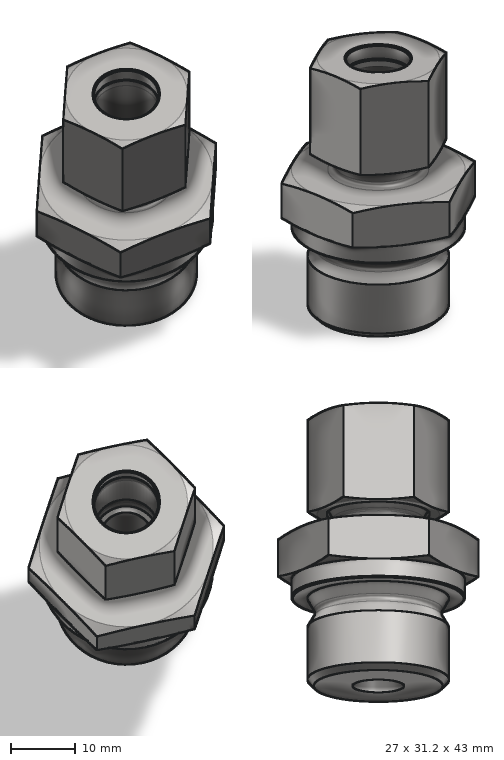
import cadquery as cq
import math


TOTAL_HEIGHT = 43.0
NUT_BOTTOM = 27.5
HEX_TOP = 24.0
HEX_BOTTOM = 17.0
FLANGE_BOTTOM = 14.0
GROOVE_BOTTOM = 9.35
BODY_TIP = 35.0
TUBE_STOP = 28.0
NUT_ROOF = TOTAL_HEIGHT - 2.35

BODY_FLATS = 27.0
NUT_FLATS = 19.0
HEX_CHAMFER_ANGLE = 15.0

STUD_RADIUS = 22.0 / 2
UNION_RADIUS = 16.0 / 2
NECK_RADIUS = 13.7 / 2
FLANGE_RADIUS = BODY_FLATS / 2
BORE_RADIUS = 8.0 / 2
TUBE_RADIUS = 10.0 / 2
MOUTH_RADIUS = 12.3 / 2

STUD_CHAMFER = 1.0
FLANGE_CHAMFER = 0.2
RELIEF_ANGLE = 30.0
GROOVE_FILLET = 1.2
NECK_FILLET = 1.0
NECK_CONE_BOTTOM = 26.85
SEAL_ANGLE = 12.0

NUT_HOLE_CHAMFER = 0.2
RING_GAP = 0.4
RING_RADIUS = 14.35 / 2
RING_NOSE_RADIUS = 5.3
LEAD_IN_DEPTH = 0.95

relief_slope = math.tan(math.radians(RELIEF_ANGLE))
relief_sine = math.sin(math.radians(RELIEF_ANGLE))
relief_sagitta = 1 - math.cos(math.radians(RELIEF_ANGLE))
seal_slope = math.tan(math.radians(SEAL_ANGLE))

shoulder_bottom = NUT_ROOF - (RING_RADIUS - TUBE_RADIUS)
ring_top = NUT_ROOF - RING_GAP
ring_top_radius = TUBE_RADIUS + RING_GAP


def revolve(profile):
    """Turn a closed (radius, height) outline about the Z axis."""
    return profile.close().revolve(360, (0, 0, 0), (0, 1, 0))


def turned(points):
    """Solid of revolution from straight (radius, height) segments."""
    return revolve(cq.Workplane("XZ").polyline(points))


def hexagon(flats, bottom, top):
    """Hexagonal prism with corners on the Y axis and both ends chamfered."""
    corner_radius = flats / 2 / math.cos(math.radians(30))
    drop = (corner_radius - flats / 2) * math.tan(math.radians(HEX_CHAMFER_ANGLE))
    prism = (
        cq.Workplane("XY", origin=(0, 0, bottom))
        .transformed(rotate=(0, 0, 90))
        .polygon(6, 2 * corner_radius)
        .extrude(top - bottom)
    )
    envelope = turned([
        (0, bottom),
        (flats / 2, bottom),
        (corner_radius, bottom + drop),
        (corner_radius, top - drop),
        (flats / 2, top),
        (0, top),
    ])
    return prism.intersect(envelope)


def make_stud():
    """Threaded end, relief groove and flange below the body hexagon."""
    middle = (FLANGE_BOTTOM + GROOVE_BOTTOM) / 2
    arc_half = GROOVE_FILLET * relief_sine
    arc_radius = STUD_RADIUS - (FLANGE_BOTTOM - middle - arc_half) * relief_slope
    floor_radius = arc_radius - GROOVE_FILLET * relief_sagitta
    return revolve(
        cq.Workplane("XZ")
        .lineTo(STUD_RADIUS - STUD_CHAMFER, 0)
        .lineTo(STUD_RADIUS, STUD_CHAMFER)
        .lineTo(STUD_RADIUS, GROOVE_BOTTOM)
        .lineTo(arc_radius, middle - arc_half)
        .threePointArc((floor_radius, middle), (arc_radius, middle + arc_half))
        .lineTo(STUD_RADIUS, FLANGE_BOTTOM)
        .lineTo(FLANGE_RADIUS - FLANGE_CHAMFER, FLANGE_BOTTOM)
        .lineTo(FLANGE_RADIUS, FLANGE_BOTTOM + FLANGE_CHAMFER)
        .lineTo(FLANGE_RADIUS, HEX_BOTTOM)
        .lineTo(0, HEX_BOTTOM)
    )


def make_union_end():
    """Filleted neck and nut thread above the body hexagon."""
    cone_radius = NECK_RADIUS + NECK_FILLET * relief_sagitta
    cone_top = NECK_CONE_BOTTOM + (UNION_RADIUS - cone_radius) / relief_slope
    neck_top = NECK_CONE_BOTTOM - NECK_FILLET * relief_sine
    return revolve(
        cq.Workplane("XZ")
        .moveTo(0, HEX_TOP)
        .lineTo(NECK_RADIUS + NECK_FILLET, HEX_TOP)
        .radiusArc((NECK_RADIUS, HEX_TOP + NECK_FILLET), NECK_FILLET)
        .lineTo(NECK_RADIUS, neck_top)
        .radiusArc((cone_radius, NECK_CONE_BOTTOM), NECK_FILLET)
        .lineTo(UNION_RADIUS, cone_top)
        .lineTo(UNION_RADIUS, BODY_TIP)
        .lineTo(0, BODY_TIP)
    )


def make_body_bore():
    """Through bore, tube socket and sealing cone."""
    cone_bottom = BODY_TIP - (MOUTH_RADIUS - TUBE_RADIUS) / seal_slope
    return turned([
        (0, 0),
        (BORE_RADIUS, 0),
        (BORE_RADIUS, TUBE_STOP),
        (TUBE_RADIUS, TUBE_STOP),
        (TUBE_RADIUS, cone_bottom),
        (MOUTH_RADIUS, BODY_TIP),
        (0, BODY_TIP),
    ])


def make_body():
    outside = make_stud().union(hexagon(BODY_FLATS, HEX_BOTTOM, HEX_TOP)).union(make_union_end())
    return outside.cut(make_body_bore())


def make_nut():
    """Hexagonal nut with a stepped bore that fits the thread and the ring."""
    bore = turned([
        (0, NUT_BOTTOM),
        (UNION_RADIUS, NUT_BOTTOM),
        (UNION_RADIUS, BODY_TIP),
        (RING_RADIUS, BODY_TIP),
        (RING_RADIUS, shoulder_bottom),
        (TUBE_RADIUS, NUT_ROOF),
        (TUBE_RADIUS, TOTAL_HEIGHT - NUT_HOLE_CHAMFER),
        (TUBE_RADIUS + NUT_HOLE_CHAMFER, TOTAL_HEIGHT),
        (0, TOTAL_HEIGHT),
    ])
    return hexagon(NUT_FLATS, NUT_BOTTOM, TOTAL_HEIGHT).cut(bore)


def make_ring():
    """Cutting ring, seated on the body tip with its nose in the sealing cone."""
    nose_bottom = BODY_TIP - (MOUTH_RADIUS - RING_NOSE_RADIUS) / seal_slope
    return turned([
        (TUBE_RADIUS, nose_bottom),
        (RING_NOSE_RADIUS, nose_bottom),
        (MOUTH_RADIUS, BODY_TIP),
        (RING_RADIUS, BODY_TIP),
        (RING_RADIUS, shoulder_bottom),
        (ring_top_radius, ring_top),
        (TUBE_RADIUS + LEAD_IN_DEPTH * seal_slope, ring_top),
        (TUBE_RADIUS, ring_top - LEAD_IN_DEPTH),
    ])


body = make_body()
nut = make_nut()
ring = make_ring()

result = cq.Compound.makeCompound([body.val(), nut.val(), ring.val()])